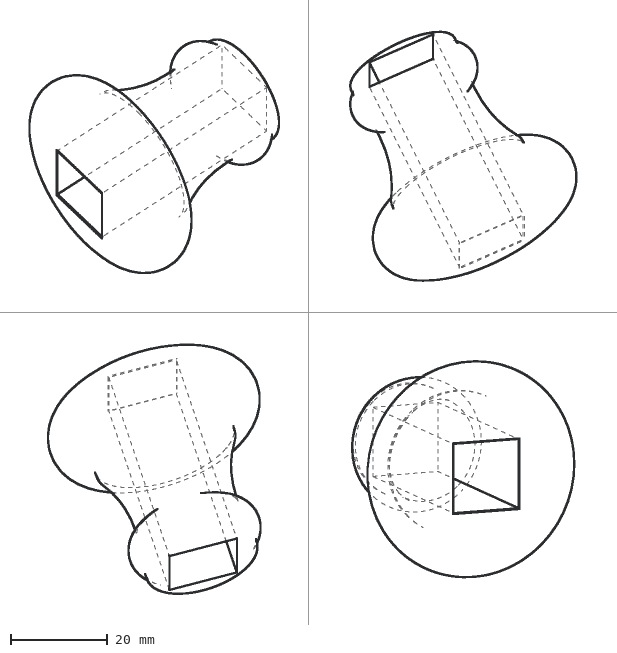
import cadquery as cq
import math

length = 44.0
bore_side = 14.5
mouth_chamfer = 0.2
mouth_side = bore_side + 2 * mouth_chamfer
blend_radius = 1.0
edge_tolerance = 0.05

bulb_outer_radius = 22.5
bulb_round = 6.75
bulb_y = 8.32

collar_radius = 15.05
collar_end_y = 16.9

neck_radius = 11.02
flare_end_y = 31.15

bead_outer_radius = 14.05
bead_round = 4.5
bead_y = 37.85

rim_radius = 11.95

face_radius = mouth_side / math.sqrt(2)
bulb_center = bulb_outer_radius - bulb_round
nose_offset = bulb_center - face_radius
nose_round = (nose_offset**2 + bulb_y**2 - bulb_round**2) / (2 * (bulb_y - bulb_round))
nose_end_angle = math.atan2(bulb_y - nose_round, nose_offset)

flare_rise = flare_end_y - collar_end_y
flare_width = collar_radius - neck_radius
flare_round = (flare_rise**2 + flare_width**2) / (2 * flare_width)
flare_half_angle = math.asin(flare_rise / flare_round) / 2

bead_center = bead_outer_radius - bead_round


def on_circle(center_radius, center_y, circle_radius, angle):
    """Profile point on a circle, with the angle measured from the outward direction."""
    return (
        center_radius + circle_radius * math.cos(angle),
        center_y + circle_radius * math.sin(angle),
    )


def height_at(radius, center_radius, circle_radius):
    """Distance along Y from a circle's center to where it crosses a given part radius."""
    return math.sqrt(circle_radius**2 - (radius - center_radius) ** 2)


collar_start_y = bulb_y + height_at(collar_radius, bulb_center, bulb_round)
bead_start_y = bead_y - height_at(neck_radius, bead_center, bead_round)
bead_end_y = bead_y + height_at(rim_radius, bead_center, bead_round)


def turned_body():
    nose_mid_angle = (nose_end_angle - math.pi / 2) / 2
    nose_mid = on_circle(face_radius, nose_round, nose_round, nose_mid_angle)
    nose_end = on_circle(bulb_center, bulb_y, bulb_round, nose_end_angle)
    flare_mid = on_circle(
        neck_radius + flare_round, flare_end_y, flare_round, math.pi + flare_half_angle
    )
    profile = (
        cq.Workplane("XY")
        .lineTo(face_radius, 0)
        .threePointArc(nose_mid, nose_end)
        .threePointArc((bulb_outer_radius, bulb_y), (collar_radius, collar_start_y))
        .lineTo(collar_radius, collar_end_y)
        .threePointArc(flare_mid, (neck_radius, flare_end_y))
        .lineTo(neck_radius, bead_start_y)
        .threePointArc((bead_outer_radius, bead_y), (rim_radius, bead_end_y))
        .lineTo(rim_radius, length)
        .lineTo(0, length)
        .close()
    )
    return profile.revolve(360, (0, 0, 0), (0, 1, 0))


def blend_edges(body):
    """Round the circular edges at both ends of the collar, the bead and the rim."""
    for radius, y in (
        (collar_radius, collar_start_y),
        (collar_radius, collar_end_y),
        (neck_radius, bead_start_y),
        (rim_radius, bead_end_y),
        (rim_radius, length),
    ):
        slab = cq.selectors.BoxSelector(
            (-radius, y - edge_tolerance, -radius), (radius, y + edge_tolerance, radius)
        )
        body = body.edges("%CIRCLE").edges(slab).fillet(blend_radius)
    return body


def square_bore():
    """Through bore along Y, with a small chamfer at its front mouth."""
    bore = cq.Workplane("XZ").rect(bore_side, bore_side).extrude(-length)
    mouth = (
        cq.Workplane("XZ")
        .rect(mouth_side, mouth_side)
        .workplane(offset=-mouth_chamfer)
        .rect(bore_side, bore_side)
        .loft(ruled=True)
    )
    return bore.union(mouth)


result = blend_edges(turned_body()).cut(square_bore())